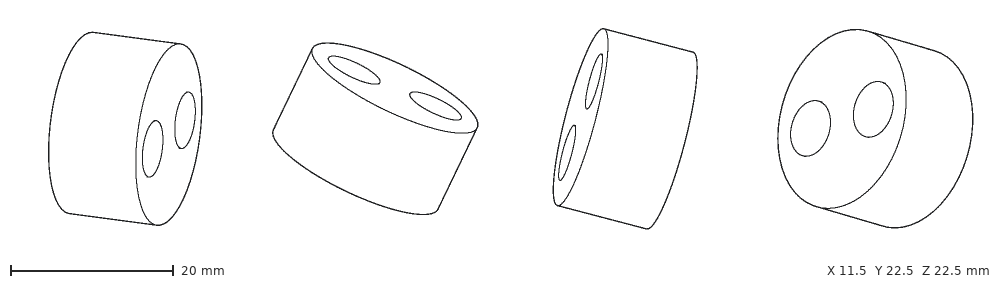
import cadquery as cq

disc_diameter = 22.5
disc_thickness = 11.5
hole_diameter = 7.0
hole_spacing = 11.0

disc = cq.Workplane("YZ").circle(disc_diameter / 2).extrude(disc_thickness)

hole_centres = [(-hole_spacing / 2, 0), (hole_spacing / 2, 0)]
holes = cq.Workplane("YZ").pushPoints(hole_centres).circle(hole_diameter / 2).extrude(disc_thickness)

result = disc.cut(holes)